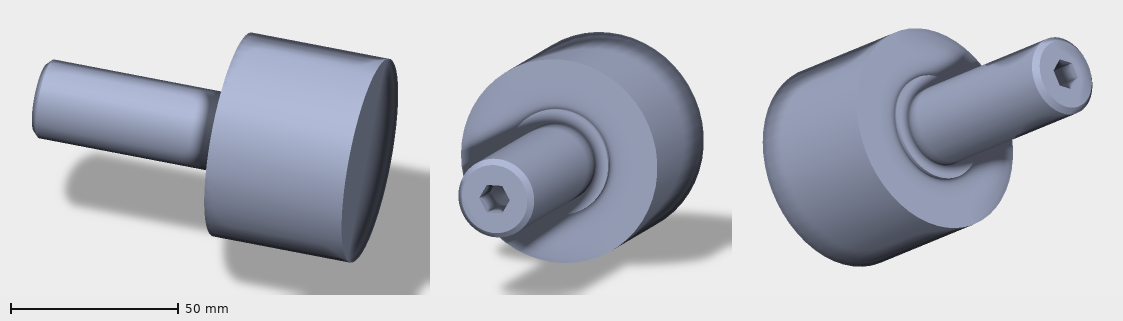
import cadquery as cq
import math

total_length = 102.0
roller_diameter = 62.0
roller_width = 42.6
collar_diameter = 32.0
collar_width = 1.5
stud_diameter = 24.0
stud_chamfer = 1.6
hex_across_flats = 8.4
drill_diameter = 8.0
hex_depth = 10.2
drill_point_angle = 120.0

stud_end_x = -total_length / 2
roller_start_x = total_length / 2 - roller_width
collar_start_x = roller_start_x - collar_width


def cylinder_along_x(start_x, length, diameter):
    return cq.Workplane("YZ", origin=(start_x, 0, 0)).circle(diameter / 2).extrude(length)


def hex_socket():
    """Hexagonal recess with corners on the Y direction and a conical drill point at its floor."""
    corner_diameter = hex_across_flats / math.cos(math.pi / 6)
    floor_x = stud_end_x + hex_depth
    hexagon = (
        cq.Workplane("YZ", origin=(stud_end_x, 0, 0))
        .polygon(6, corner_diameter)
        .extrude(hex_depth)
    )
    point_radius = drill_diameter / 2
    point_depth = point_radius / math.tan(math.radians(drill_point_angle / 2))
    drill_point = cq.Workplane(
        cq.Solid.makeCone(point_radius, 0, point_depth, cq.Vector(floor_x, 0, 0), cq.Vector(1, 0, 0))
    )
    return hexagon.union(drill_point)


roller = cylinder_along_x(roller_start_x, roller_width, roller_diameter)
collar = cylinder_along_x(collar_start_x, collar_width, collar_diameter)
stud = cylinder_along_x(stud_end_x, collar_start_x - stud_end_x, stud_diameter)
stud = stud.faces("<X").chamfer(stud_chamfer)

result = roller.union(collar).union(stud).cut(hex_socket())